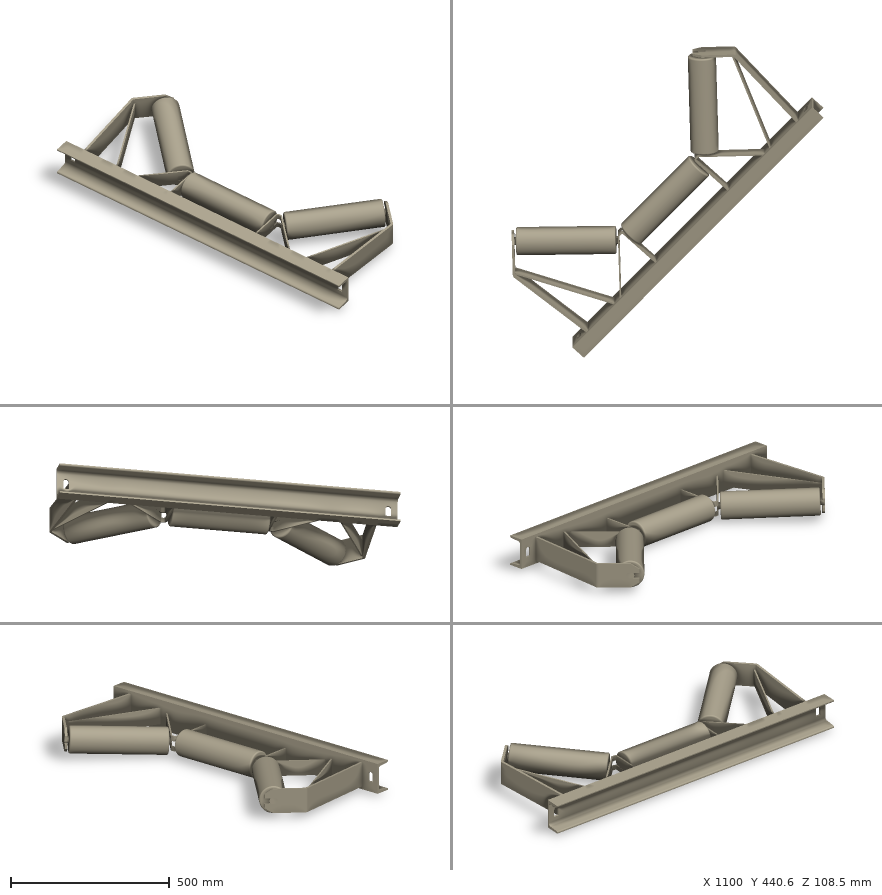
import cadquery as cq
import math

beam_length = 1100.0
beam_height = 100.0
flange_width = 50.0
web_thickness = 6.0
flange_thickness = 8.5
flange_slope = 0.08
root_radius = 8.5
toe_radius = 4.5

mount_slot_spacing = 1040.0
mount_slot_width = 18.0
mount_slot_height = 33.0

roller_diameter = 89.0
roller_length = 315.0
roller_edge_radius = 5.0
axle_diameter = 25.0
axle_flat_width = 18.0
roller_gap = 6.0
axle_setback = 1.0

trough_angle = 45.0
centre_roller_y = 117.0
centre_roller_z = 36.0
wing_centre_x = 314.6
wing_centre_y = 248.6
wing_inner_z = centre_roller_z
wing_outer_z = beam_height / 2

end_bracket_width = 80.0
inner_bracket_width = 50.0
inner_bracket_bottom_z = 12.0
end_plate_thickness = 8.0
end_bend_radius = 5.0
end_leg_base_x = 482.0
end_leg_lean = 4.6
end_plate_top_y = 390.59
end_chamfer_along = 28.0
end_chamfer_across = 18.0
inner_plate_thickness = 5.0
inner_bend_radius = 5.0
inner_crown_y = 149.0
strut_thickness = 5.0
strut_base_x = 358.0
strut_lean = 25.5
strut_bottom_z = 18.0
strut_height = 54.0

end_bracket_bottom_z = (beam_height - end_bracket_width) / 2
slot_cut_depth = 20.0
slot_cut_length = 60.0
below_beam_face = 20.0

diagonal = math.sin(math.radians(trough_angle))
end_plate_offset = roller_length / 2 + roller_gap + end_plate_thickness / 2
inner_plate_offset = roller_length / 2 + roller_gap + inner_plate_thickness / 2
wing_tilt = math.degrees(math.atan2(wing_outer_z - wing_inner_z, end_plate_offset + inner_plate_offset))
wing_centre_z = wing_inner_z + inner_plate_offset * math.tan(math.radians(wing_tilt))


def make_beam():
    """Channel with web slots; the web's outer face lies on Y = 0."""
    half_height = beam_height / 2
    slope_rise = flange_slope * flange_width / 2
    toe_z = half_height - flange_thickness + slope_rise
    root_z = toe_z - flange_slope * (flange_width - web_thickness)
    outline = [
        (0, -half_height),
        (0, half_height),
        (-flange_width, half_height),
        (-flange_width, toe_z),
        (-web_thickness, root_z),
        (-web_thickness, -root_z),
        (-flange_width, -toe_z),
        (-flange_width, -half_height),
    ]
    start = (-beam_length / 2, 0, 0)
    beam = cq.Workplane("YZ", origin=start).polyline(outline).close().extrude(beam_length)
    for side in (-1, 1):
        for y, z, radius in ((-web_thickness, root_z, root_radius), (-flange_width, toe_z, toe_radius)):
            beam = beam.edges(cq.selectors.NearestToPointSelector((0, y, side * z))).fillet(radius)
    beam = beam.translate((0, 0, half_height))

    slot_radius = mount_slot_width / 2
    slot_bottom_z = (beam_height - mount_slot_height) / 2
    arc_z = slot_bottom_z + mount_slot_height - slot_radius
    for x in (-mount_slot_spacing / 2, mount_slot_spacing / 2):
        slot = (
            cq.Workplane("XZ")
            .moveTo(x - slot_radius, slot_bottom_z)
            .lineTo(x + slot_radius, slot_bottom_z)
            .lineTo(x + slot_radius, arc_z)
            .threePointArc((x, arc_z + slot_radius), (x - slot_radius, arc_z))
            .close()
            .extrude(flange_width, both=True)
        )
        beam = beam.cut(slot)
    return beam


def make_flatted_axle(length):
    """Round bar along X with two flats facing +Z and -Z."""
    bar = cq.Workplane("YZ", origin=(-length / 2, 0, 0)).circle(axle_diameter / 2).extrude(length)
    return bar.intersect(cq.Workplane("XY").box(length, axle_diameter, axle_flat_width))


def make_roller(minus_plate, plus_plate):
    """Roller along X with its axle ending just inside the far faces of plates of the given thicknesses."""
    shell = cq.Workplane("YZ", origin=(-roller_length / 2, 0, 0)).circle(roller_diameter / 2)
    shell = shell.extrude(roller_length).faces("<X or >X").edges().fillet(roller_edge_radius)
    axle_length = roller_length + 2 * (roller_gap - axle_setback) + minus_plate + plus_plate
    axle = make_flatted_axle(axle_length).translate(((plus_plate - minus_plate) / 2, 0, 0))
    return shell.union(axle)


def make_slot_cutter(x):
    """Axle slot across X, open toward +Y, with its rounded bottom fitting the axle."""
    channel = cq.Workplane("XY").box(
        slot_cut_depth, slot_cut_length, axle_flat_width, centered=(True, False, True)
    )
    return channel.union(make_flatted_axle(slot_cut_depth)).translate((x, 0, 0))


def place_centre(body):
    """Move a body built along X to the axis of the centre roller."""
    return body.translate((0, centre_roller_y, centre_roller_z))


def place_left_wing(body):
    """Tilt and turn a body built along X so its -X end is the raised outer end."""
    tilted = body.rotate((0, 0, 0), (0, 1, 0), wing_tilt)
    turned = tilted.rotate((0, 0, 0), (0, 0, 1), -trough_angle)
    return turned.translate((-wing_centre_x, wing_centre_y, wing_centre_z))


def make_strip(path, thickness, bottom_z, width, bend_radius=0.0):
    """Flat bar on edge following a centre line in XY, with rounded bends, trimmed to the beam face."""
    headings = [math.atan2(b[1] - a[1], b[0] - a[0]) for a, b in zip(path, path[1:])]
    left, right = [], []
    for i, (x, y) in enumerate(path):
        before = headings[max(i - 1, 0)]
        after = headings[min(i, len(headings) - 1)]
        normal = (before + after) / 2 + math.pi / 2
        reach = thickness / 2 / math.cos((after - before) / 2)
        dx, dy = reach * math.cos(normal), reach * math.sin(normal)
        left.append((x + dx, y + dy))
        right.append((x - dx, y - dy))
    strip = cq.Workplane("XY").polyline(left + right[::-1]).close().extrude(width)
    for side, radius in ((left, bend_radius + thickness), (right, bend_radius)):
        for x, y in side[1:-1]:
            strip = strip.edges(cq.selectors.NearestToPointSelector((x, y, width / 2))).fillet(radius)
    inside_beam = cq.Workplane("XY").box(beam_length, 4 * below_beam_face, 3 * width)
    inside_beam = inside_beam.translate((0, -2 * below_beam_face, 0))
    return strip.cut(inside_beam).translate((0, 0, bottom_z))


def make_left_end_bracket():
    """Leaning leg bent inward to a plate that carries the outer end of the wing axle."""
    lean = math.tan(math.radians(end_leg_lean))
    plate_line = -wing_centre_x - wing_centre_y - end_plate_offset / diagonal
    bend_y = (-end_leg_base_x - plate_line) / (1 + lean)
    top_y = end_plate_top_y - end_plate_thickness / 2 * diagonal
    path = [
        (-end_leg_base_x + lean * below_beam_face, -below_beam_face),
        (plate_line + bend_y, bend_y),
        (plate_line + top_y, top_y),
    ]
    bracket = make_strip(
        path, end_plate_thickness, end_bracket_bottom_z, end_bracket_width, end_bend_radius
    )

    half_width = end_bracket_width / 2
    for side in (-1, 1):
        corner = [
            (0, side * half_width),
            (-end_chamfer_along, side * half_width),
            (0, side * (half_width - end_chamfer_across)),
        ]
        wedge = cq.Workplane("XZ").polyline(corner).close().extrude(end_plate_thickness, both=True)
        wedge = wedge.rotate((0, 0, 0), (0, 0, 1), trough_angle)
        bracket = bracket.cut(wedge.translate((*path[-1], beam_height / 2)))
    return bracket.cut(place_left_wing(make_slot_cutter(-end_plate_offset)))


def make_left_inner_bracket():
    """Bar bent over a short crown, carrying the inner wing axle and the centre axle."""
    leg_line = -wing_centre_x - wing_centre_y + inner_plate_offset / diagonal
    crown_y = inner_crown_y - inner_plate_thickness / 2
    path = [
        (leg_line - below_beam_face, -below_beam_face),
        (leg_line + crown_y, crown_y),
        (-inner_plate_offset, crown_y),
        (-inner_plate_offset, -below_beam_face),
    ]
    bracket = make_strip(
        path, inner_plate_thickness, inner_bracket_bottom_z, inner_bracket_width, inner_bend_radius
    )
    bracket = bracket.cut(place_left_wing(make_slot_cutter(inner_plate_offset)))
    return bracket.cut(place_centre(make_slot_cutter(-inner_plate_offset)))


def make_left_strut(bracket):
    """Straight brace from the beam to the inside of the end bracket, just above its bend."""
    lean = math.tan(math.radians(strut_lean))
    plate_line = -wing_centre_x - wing_centre_y - end_plate_offset / diagonal
    top_y = (-strut_base_x - plate_line) / (1 + lean)
    path = [
        (-strut_base_x + lean * below_beam_face, -below_beam_face),
        (plate_line + top_y, top_y),
    ]
    return make_strip(path, strut_thickness, strut_bottom_z, strut_height).cut(bracket)


beam = make_beam()
centre_roller = place_centre(make_roller(inner_plate_thickness, inner_plate_thickness))
wing_roller = place_left_wing(make_roller(end_plate_thickness, inner_plate_thickness))
end_bracket = make_left_end_bracket()
inner_bracket = make_left_inner_bracket()
strut = make_left_strut(end_bracket)

bodies = [*beam.solids().vals(), *centre_roller.solids().vals()]
for left_body in (wing_roller, end_bracket, inner_bracket, strut):
    bodies.extend(left_body.solids().vals())
    bodies.extend(left_body.mirror("YZ").solids().vals())

result = cq.Compound.makeCompound(bodies)